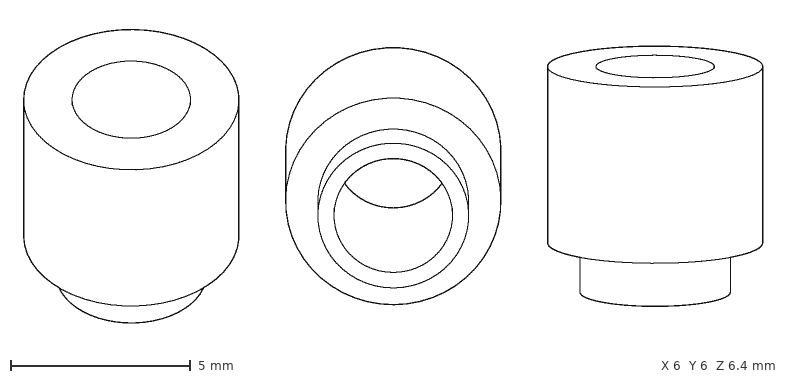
import cadquery as cq

body_diameter = 6.0
body_height = 5.0
spigot_diameter = 4.2
spigot_height = 1.4
bore_diameter = 3.3


def make_body():
    """Main cylinder, standing on the shoulder plane."""
    return cq.Workplane("XY").circle(body_diameter / 2).extrude(body_height)


def make_spigot():
    """Reduced-diameter end, hanging below the shoulder plane."""
    return cq.Workplane("XY").circle(spigot_diameter / 2).extrude(-spigot_height)


def make_bore():
    """Straight through hole along the full length."""
    return (
        cq.Workplane("XY", origin=(0, 0, -spigot_height))
        .circle(bore_diameter / 2)
        .extrude(spigot_height + body_height)
    )


result = make_body().union(make_spigot()).cut(make_bore())